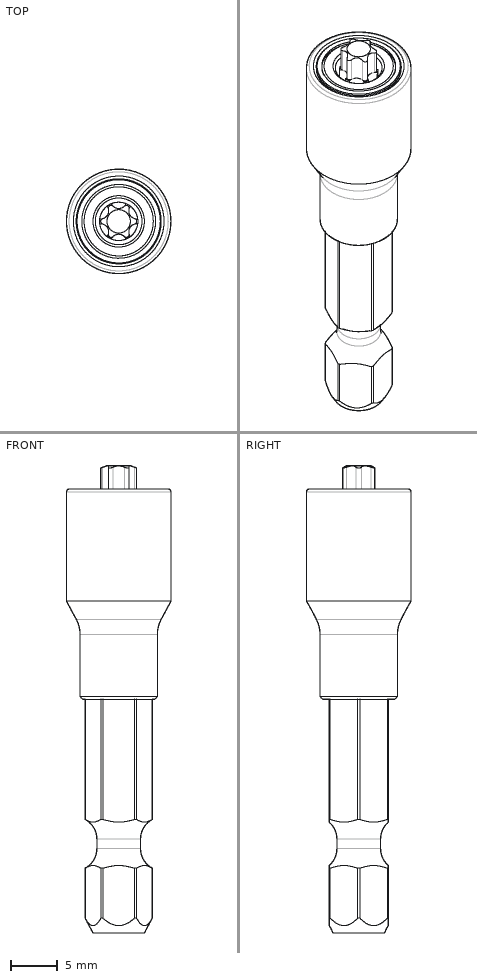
import cadquery as cq
import math

total_height = 50.0
lobe_bottom = 47.0
sleeve_top = 47.5
socket_floor = 37.5
cone_top = 35.5
cone_bottom = 33.55
neck_blend_bottom = 31.95
sleeve_bottom = 25.0

sleeve_radius = 5.6
sleeve_neck_radius = 4.15
cone_foot_radius = 4.55
sleeve_top_fillet = 0.3
sleeve_bottom_chamfer = 0.3
socket_radius = 4.55
socket_chamfer = 0.3

liner_chamfer = 0.1

magnet_radius = 3.95
magnet_bore_radius = 2.5
magnet_chamfer = 0.25

hex_flats = 6.35
hex_corner_radius = 3.6
tail_radius = 2.75
tail_chamfer_height = 1.6
groove_radius = 2.35
groove_center = 9.55
groove_flat_length = 1.05
groove_blend_radius = 2.35

lobe_count = 6
lobe_pitch = 2 * math.pi / lobe_count
stem_radius = 2.05
runout_height = 2.0
tip_radius = 1.93
valley_depth_radius = 1.375
lobe_round = 0.3
tip_flat_radius = 1.25
tip_chamfer_height = 0.25

lobe_center = tip_radius - lobe_round
lobe_center_along_valley = lobe_center * math.cos(lobe_pitch / 2)
valley_round = (
    (lobe_center**2 + valley_depth_radius**2 - lobe_round**2
     - 2 * valley_depth_radius * lobe_center_along_valley)
    / (2 * (lobe_round - valley_depth_radius + lobe_center_along_valley))
)
valley_center = valley_depth_radius + valley_round


def revolve(profile):
    """Close a (radius, height) profile and turn it about the Z axis."""
    return profile.close().revolve(360, (0, 0, 0), (0, 1, 0))


def cylinder(radius, bottom, top):
    return cq.Workplane("XY").workplane(offset=bottom).circle(radius).extrude(top - bottom)


def ring(outer_radius, inner_radius, bottom, top):
    return cylinder(outer_radius, bottom, top).cut(cylinder(inner_radius, bottom, top))


def hexagon(bottom, top):
    """Build a hex bar with corners on the X axis, the corners rounded off by a cylinder."""
    sharp_diameter = hex_flats / math.cos(math.pi / 6)
    prism = cq.Workplane("XY").workplane(offset=bottom).polygon(6, sharp_diameter).extrude(top - bottom)
    return prism.intersect(cylinder(hex_corner_radius, bottom, top))


def polar(radius, angle):
    return radius * math.cos(angle), radius * math.sin(angle)


def make_sleeve():
    body = revolve(
        cq.Workplane("XZ")
        .moveTo(0, sleeve_bottom)
        .lineTo(sleeve_neck_radius - sleeve_bottom_chamfer, sleeve_bottom)
        .lineTo(sleeve_neck_radius, sleeve_bottom + sleeve_bottom_chamfer)
        .lineTo(sleeve_neck_radius, neck_blend_bottom)
        .tangentArcPoint((cone_foot_radius, cone_bottom), relative=False)
        .lineTo(sleeve_radius, cone_top)
        .lineTo(sleeve_radius, sleeve_top - sleeve_top_fillet)
        .radiusArc((sleeve_radius - sleeve_top_fillet, sleeve_top), -sleeve_top_fillet)
        .lineTo(socket_radius + socket_chamfer, sleeve_top)
        .lineTo(socket_radius, sleeve_top - socket_chamfer)
        .lineTo(socket_radius, socket_floor)
        .lineTo(0, socket_floor)
    )
    return body.cut(hexagon(sleeve_bottom, socket_floor))


def make_liner():
    return (
        ring(socket_radius, magnet_radius, socket_floor, sleeve_top)
        .faces(">Z").edges(cq.selectors.RadiusNthSelector(-1)).chamfer(liner_chamfer)
    )


def make_magnet():
    return (
        ring(magnet_radius, magnet_bore_radius, socket_floor, sleeve_top)
        .faces(">Z").chamfer(magnet_chamfer)
    )


def make_shank():
    """Hex shank with a chamfered tail and a detent groove."""
    tail_envelope = revolve(
        cq.Workplane("XZ")
        .lineTo(tail_radius, 0)
        .lineTo(hex_corner_radius, tail_chamfer_height)
        .lineTo(hex_corner_radius, socket_floor)
        .lineTo(0, socket_floor)
    )
    half_flat = groove_flat_length / 2
    rim_radius = groove_radius + groove_blend_radius
    half_width = half_flat + groove_blend_radius
    groove = revolve(
        cq.Workplane("XZ")
        .moveTo(groove_radius, groove_center - half_flat)
        .lineTo(groove_radius, groove_center + half_flat)
        .radiusArc((rim_radius, groove_center + half_width), groove_blend_radius)
        .lineTo(rim_radius, groove_center - half_width)
        .radiusArc((groove_radius, groove_center - half_flat), groove_blend_radius)
    )
    return hexagon(0, socket_floor).intersect(tail_envelope).cut(groove)


def make_lobes():
    """Six-lobe prism whose lobes and valleys are tangent arcs, chamfered at the top."""
    valley_x, valley_y = polar(valley_center, lobe_pitch / 2)
    share = lobe_round / (lobe_round + valley_round)
    tangent_x = lobe_center + share * (valley_x - lobe_center)
    tangent_y = share * valley_y
    tangent_radius = math.hypot(tangent_x, tangent_y)
    tangent_angle = math.atan2(tangent_y, tangent_x)

    outline = cq.Workplane("XY").workplane(offset=lobe_bottom).moveTo(tangent_x, -tangent_y)
    for lobe in range(lobe_count):
        angle = lobe * lobe_pitch
        outline = outline.threePointArc(
            polar(tip_radius, angle),
            polar(tangent_radius, angle + tangent_angle),
        ).threePointArc(
            polar(valley_depth_radius, angle + lobe_pitch / 2),
            polar(tangent_radius, angle + lobe_pitch - tangent_angle),
        )
    prism = outline.close().extrude(total_height - lobe_bottom)

    tip_envelope = revolve(
        cq.Workplane("XZ")
        .moveTo(0, lobe_bottom)
        .lineTo(tip_radius, lobe_bottom)
        .lineTo(tip_radius, total_height - tip_chamfer_height)
        .lineTo(tip_flat_radius, total_height)
        .lineTo(0, total_height)
    )
    return prism.intersect(tip_envelope)


def make_stem():
    """Round stem; each valley leans outward below the lobes until it leaves the stem."""
    stem = cylinder(stem_radius, socket_floor, lobe_bottom)
    runout_shift = stem_radius - valley_depth_radius
    runout = (
        cq.Workplane("XY", origin=(valley_center, 0, lobe_bottom))
        .circle(valley_round)
        .workplane(offset=-runout_height)
        .center(runout_shift, 0)
        .circle(valley_round)
        .loft(ruled=True)
    )
    for valley in range(lobe_count):
        angle = math.degrees((valley + 0.5) * lobe_pitch)
        stem = stem.cut(runout.rotate((0, 0, 0), (0, 0, 1), angle))
    return stem


def make_bit():
    return make_shank().union(make_stem()).union(make_lobes())


sleeve = make_sleeve()
liner = make_liner()
magnet = make_magnet()
bit = make_bit()

result = cq.Compound.makeCompound([sleeve.val(), liner.val(), magnet.val(), bit.val()])